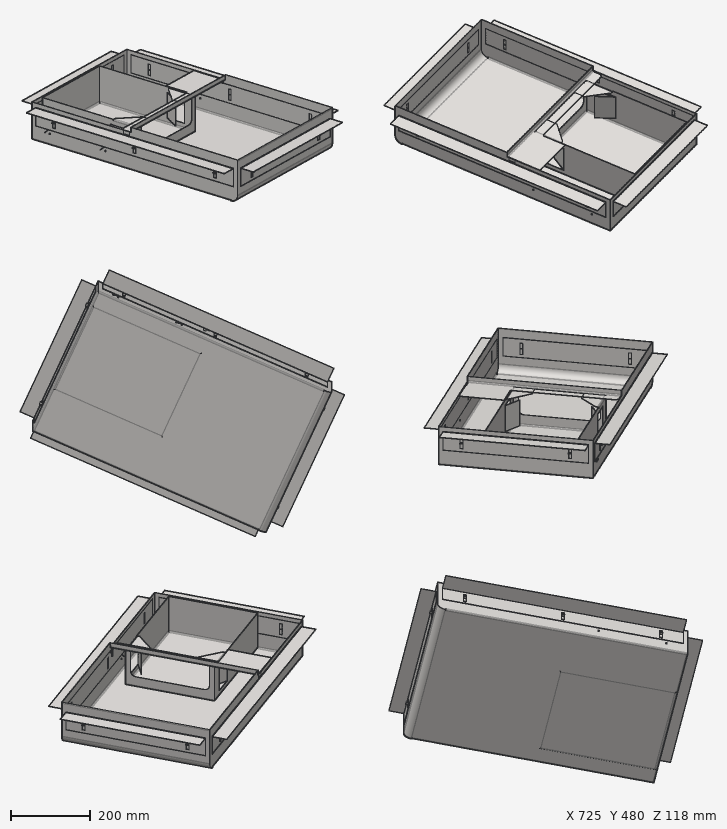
import cadquery as cq
SHEET = 1.5
BEND_INNER = 2.0
BEND_OUTER = BEND_INNER + SHEET

TUB_LENGTH = 645.0
TUB_WIDTH = 400.0
TUB_HEIGHT = 118.0
LOW_RIM = 104.5
STEP_X = -13.0
END_SWEEP = 20.0
RIM_CORNER = 3.0
WALL_X = TUB_LENGTH / 2
WALL_Y = TUB_WIDTH / 2
INNER_X = WALL_X - SHEET
INNER_Y = WALL_Y - SHEET

FLANGE_REACH = 40.0
FLANGE_TOP = 93.0
BRACKET_BOTTOM = 42.0
LONG_BRACKET = 620.0
SHORT_BRACKET = 376.0
SLOT_WIDTH = 7.0
SLOT_HEIGHT = 30.5
SLOT_Z = 66.0
LONG_SLOT_PITCH = 252.0
SHORT_SLOT_PITCH = 280.5
LONG_SLOTS = [-LONG_SLOT_PITCH, 0, LONG_SLOT_PITCH]
SHORT_SLOTS = [-SHORT_SLOT_PITCH / 2, SHORT_SLOT_PITCH / 2]
TAB_REACH = 6.5

PIN_HOLE = 3.5
PIN_HOLE_Z = 31.0
PIN_HOLE_XS = [-267.0, -92.0]
SLIT_RUN = 11.0
SLIT_START = 5.0
SLIT_TOP = 41.0
SLIT_WIDTH = 1.5
HOOK_X = -32.0
HOOK_WIDTH = 6.5
HOOK_ARM = 17.5
HOOK_ARM_HEIGHT = 3.5
HOOK_TOP = 91.0
HOOK_BOTTOM = 72.0

SHELF_TOP = LOW_RIM
SHELF_BOTTOM = SHELF_TOP - SHEET
SHELF_WIDE_X = -111.0
SHELF_NARROW_X = -43.5
SHELF_NOTCH_Y = 81.0
NOTCH_RADIUS = 3.5
LIP_OUTER_X = STEP_X + SHEET
END_GAP = 1.0
SHELF_END_Y = INNER_Y - END_GAP
END_RELIEF = 7.0
END_FLANGE_DEPTH = 11.0

TRAY_X0 = -319.0
TRAY_X1 = -18.0
TRAY_Y0 = -161.0
TRAY_Y1 = 80.5
TRAY_BOTTOM = SHEET
TRAY_TOP = SHELF_BOTTOM

GUSSET_X = -97.0
GUSSET_EDGE = 9.0
GUSSET_SPAN = 48.5

FLAP_X = -106.0
FLAP_LENGTH = 54.0
FLAP_BOTTOM = 17.0
FLAP_TOP = 87.0
FLAP_ANGLE = 30

OPENING_SIDE = 14.5
OPENING_SILL = 30.5
OPENING_RADIUS = 14.5


def box(x0, x1, y0, y1, z0, z1):
    """Box between the given limits."""
    return cq.Workplane("XY").box(x1 - x0, y1 - y0, z1 - z0, centered=False).translate((x0, y0, z0))


def tub_block(offset):
    """Filled tub outline, moved inwards by the given offset on the sides and the bottom."""
    x, y = WALL_X - offset, WALL_Y - offset
    sweep_x = WALL_X - END_SWEEP
    main = box(-x, sweep_x, -y, y, offset, TUB_HEIGHT)
    main = main.faces("<Z").edges("<X or <Y or >Y").fillet(BEND_OUTER - offset)
    end = box(sweep_x - SHEET, x, -y, y, offset, TUB_HEIGHT)
    end = end.edges(">X and <Z").fillet(END_SWEEP - offset)
    return main.union(end)


def add_bracket_tabs(tub):
    """Tabs standing out of each wall through the slots of its bracket."""
    z0, z1 = SLOT_Z - SHEET / 2, SLOT_Z + SHEET / 2
    half = SLOT_WIDTH / 2
    for side in (-1, 1):
        for x in LONG_SLOTS:
            near, far = sorted((side * INNER_Y, side * (WALL_Y + TAB_REACH)))
            tub = tub.union(box(x - half, x + half, near, far, z0, z1))
        for y in SHORT_SLOTS:
            near, far = sorted((side * INNER_X, side * (WALL_X + TAB_REACH)))
            tub = tub.union(box(near, far, y - half, y + half, z0, z1))
    return tub


def wall_openings():
    """Pin holes through both long walls; slits and a hook slot through the -Y wall only."""
    pins = cq.Workplane("XZ").pushPoints([(x, PIN_HOLE_Z) for x in PIN_HOLE_XS])
    cuts = pins.circle(PIN_HOLE / 2).extrude(WALL_Y, both=True)
    for x in PIN_HOLE_XS:
        top_x = x - SLIT_START
        slit = (
            cq.Workplane("XZ", origin=(0, -INNER_Y, 0))
            .moveTo(top_x, SLIT_TOP)
            .lineTo(top_x - SLIT_RUN, SLIT_TOP - SLIT_RUN)
            .lineTo(top_x - SLIT_RUN + SLIT_WIDTH, SLIT_TOP - SLIT_RUN)
            .lineTo(top_x + SLIT_WIDTH, SLIT_TOP)
            .close()
            .extrude(SHEET)
        )
        cuts = cuts.union(slit)
    stem = box(HOOK_X, HOOK_X + HOOK_WIDTH, -WALL_Y, -INNER_Y, HOOK_BOTTOM, HOOK_TOP)
    arm = box(HOOK_X, HOOK_X + HOOK_ARM, -WALL_Y, -INNER_Y, HOOK_TOP - HOOK_ARM_HEIGHT, HOOK_TOP)
    return cuts.union(stem).union(arm)


def make_tub():
    """Open tub with a rim step, one swept end, tabs and wall openings."""
    outer = tub_block(0).edges(">X and >Z").fillet(RIM_CORNER)
    shell = outer.cut(tub_block(SHEET))
    shell = shell.cut(box(-WALL_X, STEP_X, -WALL_Y, WALL_Y, LOW_RIM, TUB_HEIGHT))
    return add_bracket_tabs(shell.cut(wall_openings()))


def make_bracket(length, slots, wall_distance, turn):
    """L bracket on the -Y wall, turned about Z onto the wall it belongs to."""
    face = -wall_distance
    half = length / 2
    plate = box(-half, half, face - SHEET, face, BRACKET_BOTTOM, FLANGE_TOP)
    flange = box(-half, half, face - FLANGE_REACH, face, FLANGE_TOP - SHEET, FLANGE_TOP)
    bracket = plate.union(flange)
    for x in slots:
        x0, x1 = x - SLOT_WIDTH / 2, x + SLOT_WIDTH / 2
        z0, z1 = SLOT_Z - SLOT_HEIGHT / 2, SLOT_Z + SLOT_HEIGHT / 2
        bracket = bracket.cut(box(x0, x1, face - SHEET, face, z0, z1))
    return bracket.rotate((0, 0, 0), (0, 0, 1), turn)


def make_shelf():
    """L-shaped plate with a raised lip and a short flange bent down at each end."""
    plate = (
        cq.Workplane("XY", origin=(0, 0, SHELF_BOTTOM))
        .moveTo(LIP_OUTER_X, -SHELF_END_Y)
        .lineTo(LIP_OUTER_X, SHELF_END_Y)
        .lineTo(SHELF_WIDE_X, SHELF_END_Y)
        .lineTo(SHELF_WIDE_X, SHELF_NOTCH_Y)
        .lineTo(SHELF_NARROW_X - NOTCH_RADIUS, SHELF_NOTCH_Y)
        .radiusArc((SHELF_NARROW_X, SHELF_NOTCH_Y - NOTCH_RADIUS), NOTCH_RADIUS)
        .lineTo(SHELF_NARROW_X, END_RELIEF - SHELF_END_Y)
        .lineTo(SHELF_NARROW_X + END_RELIEF, -SHELF_END_Y)
        .close()
        .extrude(SHEET)
    )
    lip = box(STEP_X, LIP_OUTER_X, -SHELF_END_Y, SHELF_END_Y, SHELF_BOTTOM, TUB_HEIGHT)
    shelf = plate.union(lip)
    shelf = shelf.edges(cq.selectors.NearestToPointSelector((STEP_X, 0, SHELF_TOP))).fillet(BEND_INNER)
    shelf = shelf.edges(cq.selectors.NearestToPointSelector((LIP_OUTER_X, 0, SHELF_BOTTOM))).fillet(BEND_OUTER)
    flange_x0 = SHELF_NARROW_X + END_RELIEF
    flange_z0 = SHELF_TOP - END_FLANGE_DEPTH
    for y0 in (-SHELF_END_Y, SHELF_END_Y - SHEET):
        shelf = shelf.union(box(flange_x0, TRAY_X1, y0, y0 + SHEET, flange_z0, SHELF_TOP))
    return shelf


def tray_block(offset):
    """Filled tray outline, moved inwards by the given offset on the sides and the bottom."""
    block = box(
        TRAY_X0 + offset, TRAY_X1 - offset, TRAY_Y0 + offset, TRAY_Y1 - offset, TRAY_BOTTOM + offset, TRAY_TOP
    )
    return block.faces("<Z").edges().fillet(BEND_OUTER - offset)


def gusset(wall_y, inward):
    """Corner plate between a long tray wall and the +X wall."""
    edge_y = wall_y + inward * GUSSET_EDGE
    far_y = edge_y + inward * GUSSET_SPAN
    plate = (
        cq.Workplane("XY", origin=(0, 0, TRAY_TOP - SHEET))
        .moveTo(TRAY_X1, wall_y)
        .lineTo(GUSSET_X, wall_y)
        .lineTo(GUSSET_X, edge_y)
        .lineTo(GUSSET_X + GUSSET_SPAN, far_y)
        .lineTo(TRAY_X1, far_y)
        .close()
        .extrude(SHEET)
    )
    return plate


def round_gusset_bend(tray, wall_y, inward):
    """Round the outer top edge of a long wall along its gusset."""
    inner_y = wall_y + inward * BEND_OUTER
    low_y, high_y = sorted((wall_y, inner_y))
    corner = box(GUSSET_X, TRAY_X1, low_y, high_y, TRAY_TOP - BEND_OUTER, TRAY_TOP)
    bend = (
        cq.Workplane("YZ", origin=(GUSSET_X, 0, 0))
        .center(inner_y, TRAY_TOP - BEND_OUTER)
        .circle(BEND_OUTER)
        .extrude(TRAY_X1 - GUSSET_X)
    )
    return tray.cut(corner.cut(bend)).union(corner.intersect(bend.cut(bend_core(inner_y))))


def bend_core(inner_y):
    """Cylinder inside a gusset bend."""
    return (
        cq.Workplane("YZ", origin=(GUSSET_X, 0, 0))
        .center(inner_y, TRAY_TOP - BEND_OUTER)
        .circle(BEND_INNER)
        .extrude(TRAY_X1 - GUSSET_X)
    )


def window(wall_y, inward):
    """Window through a long tray wall, the blank of the flap."""
    low_y, high_y = sorted((wall_y, wall_y + inward * SHEET))
    return box(FLAP_X, FLAP_X + FLAP_LENGTH, low_y, high_y, FLAP_BOTTOM, FLAP_TOP)


def flap(wall_y, inward):
    """Flap hinged on the -X side of its window and swung into the tray."""
    hinge = (FLAP_X, wall_y, 0)
    axis_end = (FLAP_X, wall_y, 1)
    return window(wall_y, inward).rotate(hinge, axis_end, inward * FLAP_ANGLE)


def end_wall_opening():
    """Opening in the +X tray wall, from a rounded sill up to the rim."""
    y0, y1 = TRAY_Y0 + OPENING_SIDE, TRAY_Y1 - OPENING_SIDE
    cutter = box(TRAY_X1 - SHEET, TRAY_X1, y0, y1, OPENING_SILL, TRAY_TOP - SHEET)
    return cutter.edges("|X and <Z").fillet(OPENING_RADIUS)


def make_tray():
    """Open tray with gussets, flaps and an opening in its +X wall."""
    tray = tray_block(0).cut(tray_block(SHEET)).cut(end_wall_opening())
    for wall_y, inward in ((TRAY_Y0, 1), (TRAY_Y1, -1)):
        tray = tray.union(gusset(wall_y, inward))
        tray = round_gusset_bend(tray, wall_y, inward)
        tray = tray.cut(window(wall_y, inward))
        tray = tray.union(flap(wall_y, inward))
    return tray


tub = make_tub()
shelf = make_shelf()
tray = make_tray()
brackets = []
for turn in (0, 180):
    brackets.append(make_bracket(LONG_BRACKET, LONG_SLOTS, WALL_Y, turn).val())
for turn in (90, 270):
    brackets.append(make_bracket(SHORT_BRACKET, SHORT_SLOTS, WALL_X, turn).val())

result = cq.Compound.makeCompound([tub.val(), shelf.val(), tray.val(), *brackets])